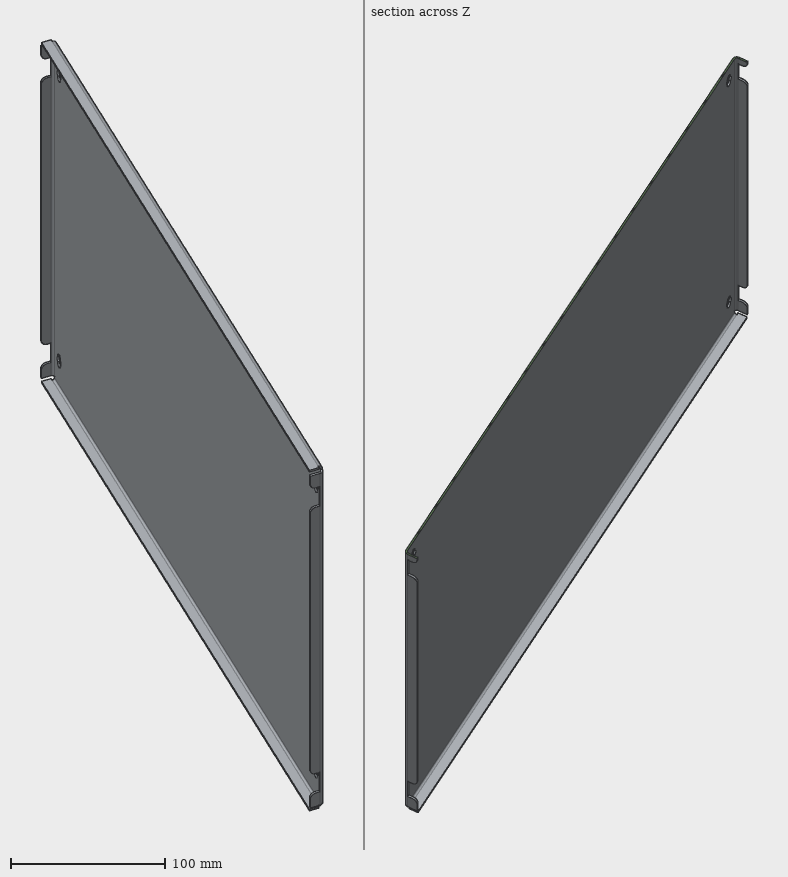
import cadquery as cq

panel_width = 447.0
panel_depth = 10.0
panel_height = 300.0

sheet = 1.5
inner_bend_radius = 1.5
bend = sheet + inner_bend_radius

corner_gap = 1.0
side_flange_length = panel_height - 2 * (bend + corner_gap)
long_wall_length = panel_width - 2 * sheet

hole_spacing_x = 425.5
hole_spacing_z = 251.5
hole_diameter = 6.3
slot_width = 4.0
slot_length = 11.0

notch_height = 17.0
notch_center_z = hole_spacing_z / 2
notch_corner_radius = 4.0

flange_front = -panel_depth / 2
panel_back = panel_depth / 2
bend_line = panel_back - bend
flat_width = panel_width - 2 * bend
flat_height = panel_height - 2 * bend


def make_plate():
    """Flat sheet between the four bend lines."""
    plate = cq.Workplane("XY").box(flat_width, sheet, flat_height)
    return plate.translate((0, panel_back - sheet / 2, 0))


def make_bent_flange(outer_face, bend_length, wall_length):
    """Quarter-round bend and straight wall facing +X, both centered on Z = 0."""
    bend_start = outer_face - bend
    inner_face = outer_face - sheet
    bend_section = (
        cq.Workplane("XY")
        .moveTo(bend_start, panel_back)
        .radiusArc((outer_face, bend_line), bend)
        .lineTo(inner_face, bend_line)
        .radiusArc((bend_start, panel_back - sheet), -inner_bend_radius)
        .close()
    )
    wall_depth = bend_line - flange_front
    wall_section = (
        cq.Workplane("XY")
        .center(outer_face - sheet / 2, flange_front + wall_depth / 2)
        .rect(sheet, wall_depth)
    )
    bent_part = bend_section.extrude(bend_length / 2, both=True)
    return bent_part.union(wall_section.extrude(wall_length / 2, both=True))


def make_notch(center_z):
    """Cutter through both side flanges, leaving rounded corners at their free edges."""
    half = notch_height / 2
    radius = notch_corner_radius
    return (
        cq.Workplane("YZ")
        .moveTo(bend_line, center_z - half)
        .lineTo(flange_front + radius, center_z - half)
        .radiusArc((flange_front, center_z - half - radius), -radius)
        .lineTo(flange_front, center_z + half + radius)
        .radiusArc((flange_front + radius, center_z + half), -radius)
        .lineTo(bend_line, center_z + half)
        .close()
        .extrude(panel_width / 2, both=True)
    )


def make_mounting_holes():
    """Cutters for the four mounting holes."""
    holes = cq.Workplane("XZ").rect(hole_spacing_x, hole_spacing_z, forConstruction=True).vertices()
    circles = holes.circle(hole_diameter / 2).extrude(panel_depth, both=True)
    slots = holes.slot2D(slot_length, slot_width, 90).extrude(panel_depth, both=True)
    return circles.union(slots)


result = make_plate()

side_flange = make_bent_flange(panel_width / 2, side_flange_length, side_flange_length)
long_flange = make_bent_flange(panel_height / 2, flat_width, long_wall_length)
long_flange = long_flange.rotate((0, 0, 0), (0, 1, 0), -90)
for flange, mirror_plane in ((side_flange, "YZ"), (long_flange, "XY")):
    result = result.union(flange).union(flange.mirror(mirror_plane))

for side in (-1, 1):
    result = result.cut(make_notch(side * notch_center_z))

result = result.cut(make_mounting_holes()).clean()